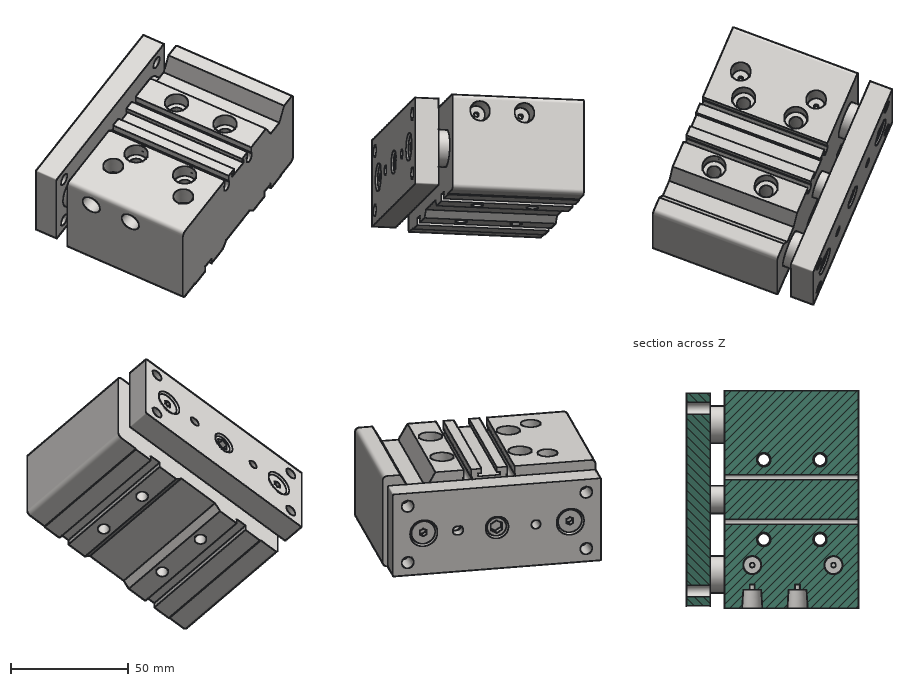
import cadquery as cq
import math

total_length = 73.5
body_width = 93.0
body_height = 42.0
body_length = 57.3
body_edge_radius = 2.0

plate_thickness = 10.2
plate_width = 91.0
plate_height = 37.8
plate_edge_radius = 0.6

guide_rod_diameter = 16.0
guide_rod_offset = 32.0
piston_rod_diameter = 12.0
rod_engagement = 40.0

body_front = total_length - body_length
body_top = body_height / 2
body_bottom = -body_top
half_width = body_width / 2
rod_end = body_front + rod_engagement

rods = [
    (-guide_rod_offset, guide_rod_diameter),
    (0, piston_rod_diameter),
    (guide_rod_offset, guide_rod_diameter),
]

dovetail_middle = 31.2
dovetail_opening = 15.3
dovetail_depth = 7.0
dovetail_side_angle = 30.0

nut_slot_opening = 6.7
nut_slot_width = 9.7
nut_slot_lip = 2.1
nut_slot_depth = 3.4

sensor_groove_offset = 9.5
sensor_groove_opening = 3.2
sensor_groove_diameter = 4.0
sensor_groove_neck = 3.7
sensor_groove_wall = 1.6

bottom_slot_depth = 3.0
bottom_side_slot_middle = 25.0
bottom_side_slot_width = 5.2
bottom_channel_opening = 25.6
foot_relief_start = 36.3
foot_relief_height = 0.5

mount_hole_offset = 17.0
mount_hole_first = 33.0
mount_hole_pitch = 24.0
mount_hole_diameter = 5.8
mount_head_diameter = 10.0
mount_head_depth = 6.1
mount_tap_diameter = 5.1
mount_tap_start = body_height / 2

port_mouth_diameter = 8.6
port_root_diameter = 7.5
port_depth = 8.0
port_passage_diameter = 2.0
port_passage_depth = 10.2
port_first = 28.1
top_port_last = 62.8
top_port_y = -28.0
side_port_last = 47.4
side_port_z = 13.95

corner_hole_diameter = 5.2
corner_hole_y = 39.0
corner_hole_z = 12.9
dowel_hole_diameter = 4.0
dowel_hole_offset = mount_hole_offset
dowel_slot_length = 4.6
dowel_slot_depth = 5.1
countersink_depth = 0.8
guide_countersink_diameter = 12.0
guide_hex_flats = 3.1
piston_countersink_diameter = 10.0
piston_hex_flats = 5.0
hex_depth = 3.0


def cylinder_x(diameter, start, end, y=0.0, z=0.0):
    """Cylinder along X from start to end."""
    return cq.Workplane("YZ", origin=(start, y, z)).circle(diameter / 2).extrude(end - start)


def body_prism(points):
    """Prism over the full housing length from a closed list of (Y, Z) points."""
    return cq.Workplane("YZ", origin=(body_front, 0, 0)).polyline(points).close().extrude(body_length)


def body_box(middle_y, width, low_z, high_z):
    """Rectangular prism over the full housing length."""
    left = middle_y - width / 2
    right = middle_y + width / 2
    return body_prism([(left, low_z), (right, low_z), (right, high_z), (left, high_z)])


def revolved_cutter(origin, inward, x_dir, profile):
    """Turned cutter whose (radius, depth) profile runs from origin in the inward direction."""
    axis = cq.Plane(origin=origin, xDir=x_dir, normal=cq.Vector(*x_dir).cross(cq.Vector(*inward)))
    points = [(0, 0), *profile, (0, profile[-1][1])]
    return cq.Workplane(axis).polyline(points).close().revolve(360, (0, 0), (0, 1))


def dovetail_slot():
    run = dovetail_depth * math.tan(math.radians(dovetail_side_angle))
    half_opening = dovetail_opening / 2
    half_floor = half_opening - run
    floor_z = body_top - dovetail_depth
    return body_prism([
        (dovetail_middle - half_opening, body_top),
        (dovetail_middle - half_floor, floor_z),
        (dovetail_middle + half_floor, floor_z),
        (dovetail_middle + half_opening, body_top),
    ])


def nut_slot():
    """T-slot along the middle of the top face."""
    opening = body_box(0, nut_slot_opening, body_top - nut_slot_depth, body_top)
    undercut = body_box(0, nut_slot_width, body_top - nut_slot_depth, body_top - nut_slot_lip)
    return opening.union(undercut)


def sensor_groove(middle_y):
    """Narrow neck over a wider, round-bottomed pocket."""
    ledge_z = body_top - sensor_groove_neck
    centre_z = ledge_z - sensor_groove_wall
    neck = body_box(middle_y, sensor_groove_opening, centre_z, body_top)
    radius = sensor_groove_diameter / 2
    pocket = (
        cq.Workplane("YZ", origin=(body_front, middle_y, 0))
        .moveTo(-radius, ledge_z)
        .lineTo(-radius, centre_z)
        .threePointArc((0, centre_z - radius), (radius, centre_z))
        .lineTo(radius, ledge_z)
        .close()
        .extrude(body_length)
    )
    return neck.union(pocket)


def bottom_channel():
    half_opening = bottom_channel_opening / 2
    half_floor = half_opening - bottom_slot_depth
    floor_z = body_bottom + bottom_slot_depth
    return body_prism([
        (-half_opening, body_bottom),
        (half_opening, body_bottom),
        (half_floor, floor_z),
        (-half_floor, floor_z),
    ])


def mount_hole(x, y):
    """Counterbored through hole that narrows to a tapping size halfway down."""
    return revolved_cutter((x, y, body_top), (0, 0, -1), (1, 0, 0), [
        (mount_head_diameter / 2, 0),
        (mount_head_diameter / 2, mount_head_depth),
        (mount_hole_diameter / 2, mount_head_depth),
        (mount_hole_diameter / 2, mount_tap_start),
        (mount_tap_diameter / 2, mount_tap_start),
        (mount_tap_diameter / 2, body_height),
    ])


def port(origin, inward):
    """Tapered port with a narrow passage behind it."""
    return revolved_cutter(origin, inward, (1, 0, 0), [
        (port_mouth_diameter / 2, 0),
        (port_root_diameter / 2, port_depth),
        (port_passage_diameter / 2, port_depth),
        (port_passage_diameter / 2, port_passage_depth),
    ])


def make_housing():
    block = body_box(0, body_width, body_bottom, body_top)
    relief_width = half_width - foot_relief_start
    relief_middle = half_width - relief_width / 2
    relief_top = body_bottom + foot_relief_height
    for side in (-1, 1):
        block = block.cut(body_box(side * relief_middle, relief_width, body_bottom, relief_top))
    block = block.edges("|X").edges("<Y or >Y").fillet(body_edge_radius)

    block = block.cut(dovetail_slot()).cut(nut_slot()).cut(bottom_channel())
    for side in (-1, 1):
        block = block.cut(sensor_groove(side * sensor_groove_offset))
        block = block.cut(body_box(
            side * bottom_side_slot_middle,
            bottom_side_slot_width,
            body_bottom,
            body_bottom + bottom_slot_depth,
        ))
        for x in (mount_hole_first, mount_hole_first + mount_hole_pitch):
            block = block.cut(mount_hole(x, side * mount_hole_offset))

    for x in (port_first, top_port_last):
        block = block.cut(port((x, top_port_y, body_top), (0, 0, -1)))
    for x in (port_first, side_port_last):
        block = block.cut(port((x, -half_width, side_port_z), (0, 1, 0)))

    for y, diameter in rods:
        block = block.cut(cylinder_x(diameter, body_front, rod_end, y))
    return block


def screw_recess(y, countersink_diameter, hex_flats):
    """Countersunk ring with a hexagon socket, points up, in its floor."""
    mouth_radius = countersink_diameter / 2
    ring = revolved_cutter((0, y, 0), (1, 0, 0), (0, 1, 0), [
        (mouth_radius, 0),
        (mouth_radius - countersink_depth, countersink_depth),
    ])
    hex_corners = hex_flats / math.cos(math.pi / 6)
    socket = (
        cq.Workplane("YZ", origin=(0, y, 0))
        .transformed(rotate=(0, 0, 90))
        .polygon(6, hex_corners)
        .extrude(countersink_depth + hex_depth)
    )
    return ring.union(socket)


def dowel_slot():
    """Slot that lengthens the mouth of the +Y dowel hole along Y."""
    return (
        cq.Workplane("YZ", origin=(0, dowel_hole_offset, 0))
        .slot2D(dowel_slot_length, dowel_hole_diameter)
        .extrude(dowel_slot_depth)
    )


def make_slide():
    slide = (
        cq.Workplane("YZ")
        .rect(plate_width, plate_height)
        .extrude(plate_thickness)
        .edges("|X")
        .fillet(plate_edge_radius)
    )
    for y, diameter in rods:
        slide = slide.union(cylinder_x(diameter, plate_thickness, rod_end, y))

    for side in (-1, 1):
        slide = slide.cut(cylinder_x(dowel_hole_diameter, 0, plate_thickness, side * dowel_hole_offset))
        for z in (-corner_hole_z, corner_hole_z):
            slide = slide.cut(cylinder_x(corner_hole_diameter, 0, plate_thickness, side * corner_hole_y, z))
        slide = slide.cut(screw_recess(side * guide_rod_offset, guide_countersink_diameter, guide_hex_flats))
    slide = slide.cut(dowel_slot())
    return slide.cut(screw_recess(0, piston_countersink_diameter, piston_hex_flats))


housing = make_housing()
slide = make_slide()

result = cq.Compound.makeCompound([housing.val(), slide.val()])